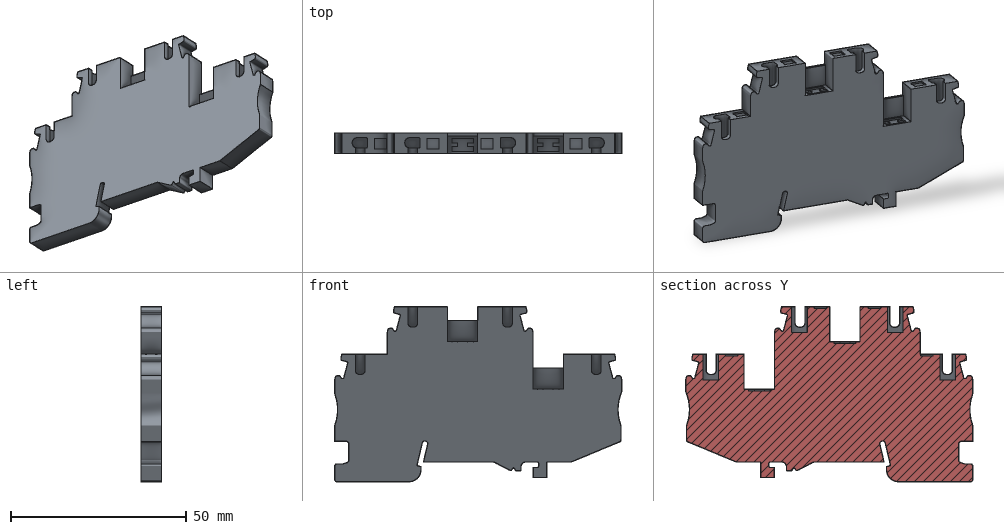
import cadquery as cq
import math

length = 82.0
thickness = 6.0
height = 50.0
tier_rise = 13.5
lower_top = height - tier_rise
upper_left = 15.0
upper_right = 56.7
base_z = 5.65

clip_lip_top_x = 2.05
clip_lip_x = 1.8
clip_lip_bulge = 1.0
clip_lip_bottom = 1.8
clip_throat_x = 3.8
clip_throat_drop = 2.3
clip_root_x = 2.55
clip_root_drop = 7.0
clip_dip_x = 2.05
clip_shoulder_x = 1.4
clip_shoulder_drop = 6.15
clip_shoulder_radius = 0.8
clip_shoulder_lean_x = 0.25
clip_shoulder_lean_drop = 7.4
clip_lip_radius = 0.4
clip_small_radius = 0.25

hollow_bottom = 16.1
hollow_top = 25.2
hollow_depth = 0.8

foot_top = 5.2
foot_ramp_start = 2.4
foot_end = 24.7
foot_edge_radius = 0.7
foot_toe_radius = 3.5
toe_top = 4.35
rail_notch_depth = 4.0
rail_notch_top = 11.6
rail_notch_ramp = 0.5
slit_bottom_left = 23.5
slit_top_left = 25.2
slit_bottom_right = 25.3
slit_width = 1.55
slit_top = 11.65
slit_bottom = 4.7
slit_end_radius = 0.7

tooth_start = 45.4
tooth_bottom = 3.1
tooth_tip = 50.35
tooth_gap_x = 51.1
tooth_gap_z = 4.1
tooth_heel = 51.75
tooth_end = 53.2
tooth_cove_radius = 1.4
hook_left = upper_right
hook_right = 60.6
hook_neck = 58.2
hook_bottom = 1.2
hook_top = 4.1
hook_radius = 0.4

slant_start = 67.6
slant_end_z = 11.6
lower_right_x = 81.75
slant_radius = 0.65

window_width = 8.6
window_left = 32.2
window_floor_drop = 10.0
window_rear_drop = 3.9
rear_wall = 0.9
window_edge_radius = 0.25

h_inset = 1.2
h_front = 0.65
h_back = 4.35
h_notch_length = 1.6
h_notch_width = 1.0
recess_depth = 0.5

square_offset = 11.4
square_length = 3.45
square_front = 1.4
square_back = 4.35

hole_offset = 5.0
hole_length = 4.35
hole_front = 1.6
hole_back = 4.6
hole_corner_radius = 0.3
hole_depth = 7.4
slot_offset = 5.9
slot_width = 2.8
slot_depth = 5.8
slot_radius = 1.15

selection_margin = 0.1


def rounded_outline(corners):
    """Closed wire on the XZ plane through (x, z, radius) corners, each rounded by a tangent arc."""
    outline = None
    count = len(corners)
    for i in range(count):
        x, z, radius = corners[i]
        before = cq.Vector(corners[i - 1][0] - x, corners[i - 1][1] - z).normalized()
        after = cq.Vector(corners[(i + 1) % count][0] - x, corners[(i + 1) % count][1] - z).normalized()
        corner = cq.Vector(x, z)
        half_angle = before.getAngle(after) / 2
        setback = radius / math.tan(half_angle)
        start = corner + before * setback
        if outline is None:
            outline = cq.Workplane("XZ").moveTo(start.x, start.y)
        else:
            outline = outline.lineTo(start.x, start.y)
        if radius > 0:
            end = corner + after * setback
            bisector = (before + after).normalized()
            middle = corner + bisector * (radius / math.sin(half_angle) - radius)
            outline = outline.threePointArc((middle.x, middle.y), (end.x, end.y))
    return outline.close()


def clip_corners(wall_x, inward, top_z):
    """Corners of a marker clip from the wall up to the tier top; inward is +1 or -1 along X."""
    offsets = [
        (0, clip_shoulder_lean_drop, 0),
        (clip_shoulder_lean_x, clip_shoulder_drop, clip_shoulder_radius),
        (clip_shoulder_x, clip_shoulder_drop, clip_small_radius),
        (clip_dip_x, clip_root_drop, 0),
        (clip_root_x, clip_root_drop, clip_small_radius),
        (clip_throat_x, clip_throat_drop, clip_small_radius),
        (clip_lip_x, clip_lip_bottom, clip_lip_radius),
        (clip_lip_x, clip_lip_bulge, 0),
        (clip_lip_top_x, 0, 0),
    ]
    return [(wall_x + inward * x, top_z - drop, radius) for x, drop, radius in offsets]


def box(x_range, y_range, z_range):
    """Axis-aligned block spanning the given (low, high) ranges."""
    size = [b - a for a, b in (x_range, y_range, z_range)]
    corner = (x_range[0], y_range[0], z_range[0])
    return cq.Workplane("XY").box(*size, centered=False).translate(corner)


def housing():
    """Outer profile of the block, extruded through its full thickness."""
    foot = [
        (slit_bottom_right, base_z, 0),
        (slit_top_left + slit_width, slit_top, slit_end_radius),
        (slit_top_left, slit_top, slit_end_radius),
        (slit_bottom_left, slit_bottom, 0),
        (foot_end, toe_top, clip_small_radius),
        (foot_end, 0, foot_toe_radius),
        (0, 0, foot_edge_radius),
        (0, foot_top, foot_edge_radius),
        (foot_ramp_start, foot_top, 0),
        (rail_notch_depth, foot_top + rail_notch_ramp, foot_edge_radius),
        (rail_notch_depth, rail_notch_top, foot_edge_radius),
        (0, rail_notch_top, 0),
    ]
    left_side = (
        clip_corners(0, 1, lower_top)
        + [(upper_left, lower_top, 0)]
        + clip_corners(upper_left, 1, height)
    )
    right_side = (
        clip_corners(upper_right, -1, height)[::-1]
        + [(upper_right, lower_top, 0)]
        + clip_corners(length, -1, lower_top)[::-1]
        + [
            (length, hollow_top, 0),
            (lower_right_x, hollow_bottom, 0),
            (lower_right_x, slant_end_z, slant_radius),
            (slant_start, base_z, 0),
        ]
    )
    hook_and_teeth = [
        (hook_right, base_z, 0),
        (hook_right, hook_bottom, 0),
        (hook_left, hook_bottom, 0),
        (hook_left, hook_top, 0),
        (hook_neck, hook_top, hook_radius),
        (hook_neck, base_z, hook_radius),
        (tooth_end, base_z, tooth_cove_radius),
        (tooth_end, tooth_bottom, clip_small_radius),
        (tooth_heel, tooth_bottom, 0),
        (tooth_gap_x, tooth_gap_z, 0),
        (tooth_tip, tooth_bottom, clip_small_radius),
        (tooth_start, base_z, 0),
    ]
    return rounded_outline(foot + left_side + right_side + hook_and_teeth).extrude(-thickness)


def end_hollow(deepest_x, outward):
    """Cylinder that scoops a shallow hollow into an end face, reaching as far as deepest_x."""
    half_chord = (hollow_top - hollow_bottom) / 2
    radius = (half_chord**2 + hollow_depth**2) / (2 * hollow_depth)
    middle_z = (hollow_bottom + hollow_top) / 2
    axis_x = deepest_x + outward * radius
    return cq.Workplane("XZ").center(axis_x, middle_z).circle(radius).extrude(-thickness)


def window(left, top_z):
    """Material removed for a marker window together with its H-shaped floor recess."""
    right = left + window_width
    floor = top_z - window_floor_drop
    opening = box((left, right), (0, thickness - rear_wall), (floor, height))
    above_rear = box((left, right), (0, thickness), (top_z - window_rear_drop, height))
    recess_z = (floor - recess_depth, floor)
    h_left = left + h_inset
    h_right = right - h_inset
    recess = box((h_left, h_right), (h_front, h_back), recess_z)
    notch_front = (h_front + h_back - h_notch_width) / 2
    notch_y = (notch_front, notch_front + h_notch_width)
    for start in (h_left, h_right - h_notch_length):
        recess = recess.cut(box((start, start + h_notch_length), notch_y, recess_z))
    return opening.union(above_rear).union(recess)


def terminal(wall_x, inward, top_z):
    """Material removed for one conductor hole, its front slot and its square test recess."""
    end_radius = (hole_back - hole_front) / 2
    round_center = hole_offset + end_radius
    flat_end = hole_offset + hole_length
    hole = (
        cq.Workplane("XY")
        .moveTo(round_center, hole_back)
        .threePointArc((hole_offset, hole_front + end_radius), (round_center, hole_front))
        .lineTo(flat_end, hole_front)
        .lineTo(flat_end, hole_back)
        .close()
        .extrude(-hole_depth)
        .edges("|Z and >X")
        .fillet(hole_corner_radius)
    )
    slot_y = (0, hole_front + end_radius)
    slot = box((slot_offset, slot_offset + slot_width), slot_y, (-slot_depth, 0))
    slot = slot.edges("|Y and <Z").fillet(slot_radius)
    square_x = (square_offset, square_offset + square_length)
    square = box(square_x, (square_front, square_back), (-recess_depth, 0))
    cutter = hole.union(slot).union(square)
    if inward < 0:
        cutter = cutter.mirror("YZ")
    return cutter.translate((wall_x, 0, top_z))


result = housing()
result = result.cut(end_hollow(hollow_depth, -1))
result = result.cut(end_hollow(lower_right_x - hollow_depth, 1))
for window_x, tier_top in ((window_left, height), (upper_right, lower_top)):
    result = result.cut(window(window_x, tier_top))
window_top_edges = cq.selectors.BoxSelector(
    (window_left - selection_margin, 0, height - selection_margin),
    (window_left + window_width + selection_margin, thickness, height + selection_margin),
)
result = result.edges(window_top_edges).fillet(window_edge_radius)
for wall, direction, tier_top in (
    (0, 1, lower_top),
    (upper_left, 1, height),
    (upper_right, -1, height),
    (length, -1, lower_top),
):
    result = result.cut(terminal(wall, direction, tier_top))